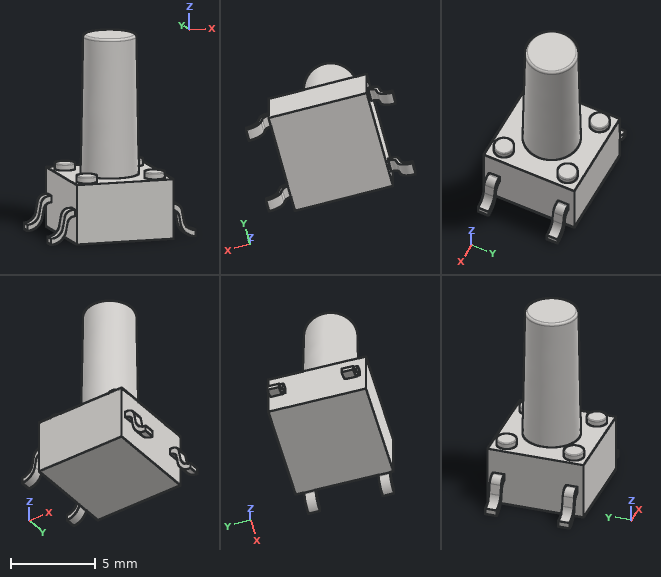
import cadquery as cq
import math


overall_length = 9.02
overall_height = 12.0

body_side = 6.03
body_height = 3.6

plunger_base_diameter = 3.48
plunger_top_diameter = 3.19
plunger_fillet = 0.15

stud_diameter = 1.22
stud_height = 0.38
stud_spacing = 4.23
stud_fillet = 0.06

lead_width = 0.71
lead_spacing = 4.58
lead_thickness = 0.38
lead_top_height = 2.04
lead_reach = (overall_length - body_side) / 2
shoulder_length = 0.15
upper_bend_radius = 0.5
upper_foot_radius = 0.75
lower_bend_radius = 0.48
lower_foot_radius = 0.95


def make_body():
    return cq.Workplane("XY").box(body_side, body_side, body_height, centered=(True, True, False))


def make_plunger():
    base_radius = plunger_base_diameter / 2
    top_radius = plunger_top_diameter / 2
    profile = (
        cq.Workplane("XZ")
        .moveTo(0, body_height)
        .lineTo(base_radius, body_height)
        .lineTo(top_radius, overall_height)
        .lineTo(0, overall_height)
        .close()
    )
    plunger = profile.revolve(360, (0, 0, 0), (0, 1, 0))
    return plunger.faces(">Z").edges().fillet(plunger_fillet)


def make_studs():
    studs = (
        cq.Workplane("XY")
        .workplane(offset=body_height)
        .rect(stud_spacing, stud_spacing, forConstruction=True)
        .vertices()
        .circle(stud_diameter / 2)
        .extrude(stud_height)
    )
    return studs.faces(">Z").edges().fillet(stud_fillet)


def point_on_arc(center, radius, angle):
    return (center[0] + radius * math.cos(angle), center[1] + radius * math.sin(angle))


def s_curve_points(bend_center, bend_radius, foot_center, foot_radius):
    """Middle and end of the bend arc, then start and middle of the foot arc.

    The straight leg between the arcs is the line tangent to both of them.
    """
    run = foot_center[0] - bend_center[0]
    rise = foot_center[1] - bend_center[1]
    tangent_angle = math.acos((bend_radius + foot_radius) / math.hypot(run, rise))
    lean = math.atan2(rise, run) + tangent_angle
    middle = (lean + math.pi / 2) / 2
    return (
        point_on_arc(bend_center, bend_radius, middle),
        point_on_arc(bend_center, bend_radius, lean),
        point_on_arc(foot_center, foot_radius, lean + math.pi),
        point_on_arc(foot_center, foot_radius, middle + math.pi),
    )


def make_lead():
    """Lead on the +X side, centred on Y = 0."""
    wall = body_side / 2
    tip = wall + lead_reach
    shoulder = wall + shoulder_length
    lead_bottom_height = lead_top_height - lead_thickness

    upper_bend_mid, upper_leg_top, upper_leg_bottom, upper_foot_mid = s_curve_points(
        (shoulder, lead_top_height - upper_bend_radius),
        upper_bend_radius,
        (tip, lead_thickness + upper_foot_radius),
        upper_foot_radius,
    )
    lower_bend_mid, lower_leg_top, lower_leg_bottom, lower_foot_mid = s_curve_points(
        (wall, lead_bottom_height - lower_bend_radius),
        lower_bend_radius,
        (tip, lower_foot_radius),
        lower_foot_radius,
    )
    profile = (
        cq.Workplane("XZ")
        .moveTo(wall, lead_top_height)
        .lineTo(shoulder, lead_top_height)
        .threePointArc(upper_bend_mid, upper_leg_top)
        .lineTo(*upper_leg_bottom)
        .threePointArc(upper_foot_mid, (tip, lead_thickness))
        .lineTo(tip, 0)
        .threePointArc(lower_foot_mid, lower_leg_bottom)
        .lineTo(*lower_leg_top)
        .threePointArc(lower_bend_mid, (wall, lead_bottom_height))
        .close()
    )
    return profile.extrude(lead_width / 2, both=True)


result = make_body().union(make_plunger()).union(make_studs())

right_lead = make_lead()
left_lead = right_lead.mirror("YZ")
for lead_y in (-lead_spacing / 2, lead_spacing / 2):
    for lead in (left_lead, right_lead):
        result = result.union(lead.translate((0, lead_y, 0)))